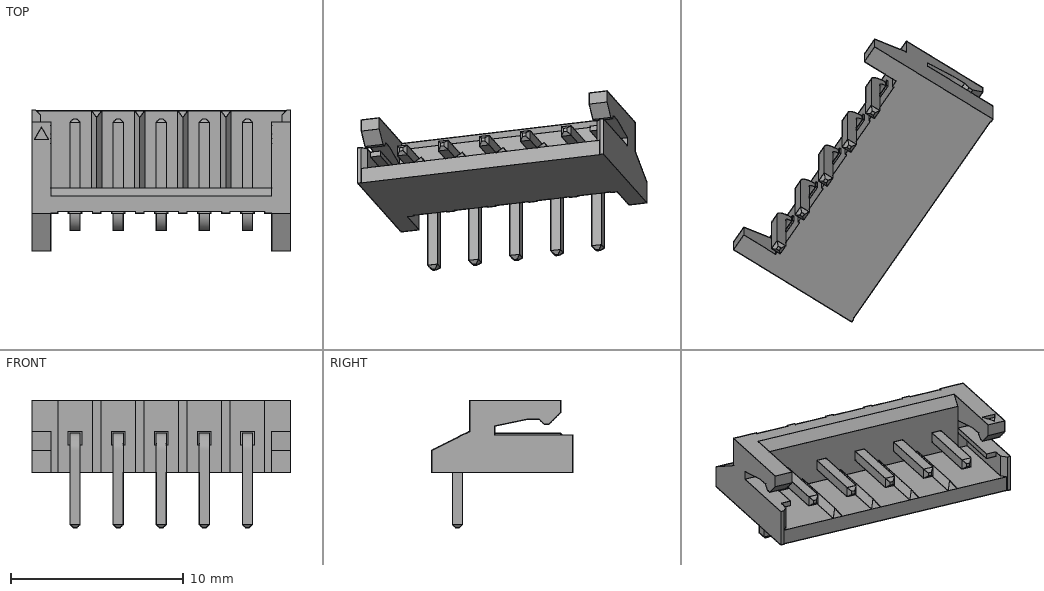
import cadquery as cq
import math


PIN_COUNT = 5
PITCH = 2.5
PIN_SIZE = 0.6
PIN_AXIS_Z = 2.0
PIN_TIP_Y = -0.52
PIN_TAIL_Y = -6.7
PIN_TAIL_Z = -3.2
PIN_TIP_BEVEL = 0.2
BEND_RADIUS = 0.7

END_MARGIN = 2.5
WIDTH = (PIN_COUNT - 1) * PITCH + 2 * END_MARGIN
HEIGHT = 4.2
BODY_FRONT_Y = -6.0
WALL_BACK_Y = -5.0
FLOOR_Z = 0.9
FLOOR_END_Y = -0.04
WALL_RAMP_DEPTH = 0.46
WALL_RAMP_HEIGHT = 0.58

ARM_WIDTH = 1.1
CHEEK_WIDTH = 0.5
CHEEK_Z = 2.2
CHEEK_LEAD_IN = 0.3
LEDGE_END_Y = -0.9
LEDGE_THICKNESS = 0.3
SLOT_END_Y = -4.53
ARM_END_Y = -0.7
ARM_NOSE_Z = 3.5
HOOK_Z = 2.8
HOOK_END_Y = ARM_END_Y - (ARM_NOSE_Z - HOOK_Z)
HOOK_FLAT = 0.26
HOOK_HEIGHT = 0.3
ARM_TAPER_Y = -2.61
ARM_ROOT_Z = 2.7
FOOT_FRONT_Y = -8.2
FOOT_TIP_Z = 1.3
FOOT_ROOT_Z = 2.4

PANEL_WIDTH = 2.0
PANEL_DEPTH = 0.1
COLLAR_SIZE = 0.8

RIDGE_WIDTH = 0.6
RIDGE_HEIGHT = 0.43
RIDGE_END_SLOPE_LENGTH = 0.4

MARK_SIDE = 0.82
MARK_DEPTH = 0.2
MARK_TIP_Y = -1.0

PIN_XS = [(i - (PIN_COUNT - 1) / 2) * PITCH for i in range(PIN_COUNT)]
RIDGE_XS = [x + PITCH / 2 for x in PIN_XS[:-1]]


def block(x_range, y_range, z_range):
    """Axis-aligned box between the given limits."""
    lows, highs = zip(*(sorted(r) for r in (x_range, y_range, z_range)))
    sizes = [high - low for low, high in zip(lows, highs)]
    return cq.Workplane("XY").box(*sizes, centered=False).translate(lows)


def side_plate(points, x_start, thickness):
    """Plate with a (Y, Z) outline, thickened toward +X from x_start."""
    return cq.Workplane("YZ", origin=(x_start, 0, 0)).polyline(points).close().extrude(thickness)


def floor_and_wall():
    """Floor and upright front wall, with a ramp along the top of the wall's inner side."""
    outline = [
        (BODY_FRONT_Y, 0),
        (FLOOR_END_Y, 0),
        (FLOOR_END_Y, FLOOR_Z),
        (WALL_BACK_Y + WALL_RAMP_DEPTH, FLOOR_Z),
        (WALL_BACK_Y + WALL_RAMP_DEPTH, HEIGHT - WALL_RAMP_HEIGHT),
        (WALL_BACK_Y, HEIGHT),
        (BODY_FRONT_Y, HEIGHT),
    ]
    return side_plate(outline, -WIDTH / 2, WIDTH)


def left_end():
    """Cheek, inner ledge, latch arm and foot at the -X end."""
    outer_x = -WIDTH / 2
    cheek_x = outer_x + CHEEK_WIDTH
    arm_x = outer_x + ARM_WIDTH
    cheek = (
        block((outer_x, cheek_x), (BODY_FRONT_Y, 0), (0, CHEEK_Z))
        .edges("|Z and >X and >Y")
        .chamfer(CHEEK_LEAD_IN)
    )
    ledge = block(
        (outer_x, arm_x), (BODY_FRONT_Y, LEDGE_END_Y), (CHEEK_Z - LEDGE_THICKNESS, CHEEK_Z)
    )
    hook_start_y = HOOK_END_Y - HOOK_FLAT
    arm_outline = [
        (BODY_FRONT_Y, HEIGHT),
        (ARM_END_Y, HEIGHT),
        (ARM_END_Y, ARM_NOSE_Z),
        (HOOK_END_Y, HOOK_Z),
        (hook_start_y, HOOK_Z),
        (hook_start_y - HOOK_HEIGHT, HOOK_Z + HOOK_HEIGHT),
        (ARM_TAPER_Y, HOOK_Z + HOOK_HEIGHT),
        (SLOT_END_Y, ARM_ROOT_Z),
        (SLOT_END_Y, 0),
        (FOOT_FRONT_Y, 0),
        (FOOT_FRONT_Y, FOOT_TIP_Z),
        (BODY_FRONT_Y, FOOT_ROOT_Z),
    ]
    arm_and_foot = side_plate(arm_outline, outer_x, ARM_WIDTH)
    return cheek.union(ledge).union(arm_and_foot)


def front_panel(x):
    """Shallow full-height recess in the front face, leaving a square collar around the pin."""
    panel_y = (BODY_FRONT_Y, BODY_FRONT_Y + PANEL_DEPTH)
    panel = block((x - PANEL_WIDTH / 2, x + PANEL_WIDTH / 2), panel_y, (0, HEIGHT))
    half = COLLAR_SIZE / 2
    collar = block((x - half, x + half), panel_y, (PIN_AXIS_Z - half, PIN_AXIS_Z + half))
    return panel.cut(collar)


def ridge(x):
    """Triangular ridge along the floor, sloping down at the mating end."""
    half = RIDGE_WIDTH / 2
    profile = [(x - half, FLOOR_Z), (x + half, FLOOR_Z), (x, FLOOR_Z + RIDGE_HEIGHT)]
    length = FLOOR_END_Y - WALL_BACK_Y
    bar = cq.Workplane("XZ", origin=(0, FLOOR_END_Y, 0)).polyline(profile).close().extrude(length)
    end_cut = [
        (FLOOR_END_Y, FLOOR_Z),
        (FLOOR_END_Y, FLOOR_Z + RIDGE_HEIGHT),
        (FLOOR_END_Y - RIDGE_END_SLOPE_LENGTH, FLOOR_Z + RIDGE_HEIGHT),
    ]
    return bar.cut(side_plate(end_cut, x - half, RIDGE_WIDTH))


def pin(x):
    """Square pin bent down through a right angle, bevelled at both tips."""
    path = (
        cq.Workplane("YZ", origin=(x, 0, 0))
        .moveTo(PIN_TIP_Y, PIN_AXIS_Z)
        .lineTo(PIN_TAIL_Y + BEND_RADIUS, PIN_AXIS_Z)
        .tangentArcPoint((PIN_TAIL_Y, PIN_AXIS_Z - BEND_RADIUS), relative=False)
        .lineTo(PIN_TAIL_Y, PIN_TAIL_Z)
    )
    section = cq.Workplane("XZ", origin=(x, PIN_TIP_Y, PIN_AXIS_Z)).rect(PIN_SIZE, PIN_SIZE)
    return section.sweep(path).faces(">Y or <Z").chamfer(PIN_TIP_BEVEL)


def pin_one_mark():
    """Shallow equilateral triangle in the top of the -X latch arm, pointing toward +Y."""
    x = (ARM_WIDTH - WIDTH) / 2
    base_y = MARK_TIP_Y - MARK_SIDE * math.sqrt(3) / 2
    corners = [(x - MARK_SIDE / 2, base_y), (x + MARK_SIDE / 2, base_y), (x, MARK_TIP_Y)]
    return cq.Workplane("XY", origin=(0, 0, HEIGHT)).polyline(corners).close().extrude(-MARK_DEPTH)


end = left_end()
housing = floor_and_wall().union(end).union(end.mirror("YZ"))
for ridge_x in RIDGE_XS:
    housing = housing.union(ridge(ridge_x))
for pin_x in PIN_XS:
    housing = housing.cut(front_panel(pin_x))
    housing = housing.union(pin(pin_x))

result = housing.cut(pin_one_mark())